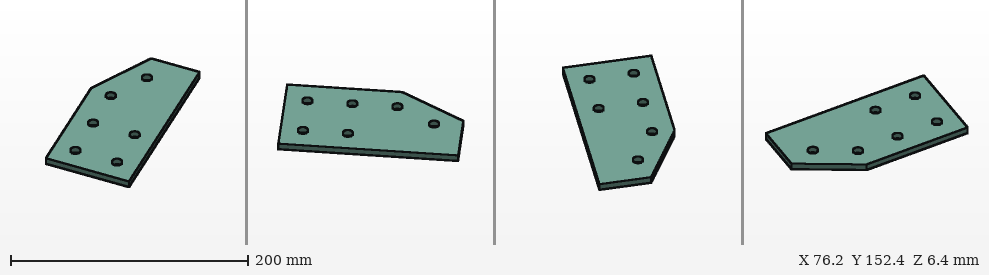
import cadquery as cq
import math

length = 152.4
width = length / 2
thickness = 6.4

slope_angle = math.radians(60)
corner_width = 31.7
corner_height = corner_width * math.tan(slope_angle)

hole_diameter = 8.5
hole_pitch = width / 2
edge_distance = hole_pitch / 2

left_column = edge_distance
right_column = left_column + hole_pitch
rows = [edge_distance + i * hole_pitch for i in range(3)]


def make_plate():
    """Flat plate with its -X, +Y corner cut off."""
    outline = [
        (0, 0),
        (width, 0),
        (width, length),
        (corner_width, length),
        (0, length - corner_height),
    ]
    return cq.Workplane("XY").polyline(outline).close().extrude(thickness)


def hole_centers():
    """Three holes up the left side, two on the right, one along the slope."""
    left = [(left_column, y) for y in rows]
    right = [(right_column, y) for y in rows[:2]]
    inclined = (
        left_column + hole_pitch * math.cos(slope_angle),
        rows[-1] + hole_pitch * math.sin(slope_angle),
    )
    return left + right + [inclined]


def make_holes():
    """Cylinders that pass through the full thickness."""
    return (
        cq.Workplane("XY")
        .pushPoints(hole_centers())
        .circle(hole_diameter / 2)
        .extrude(thickness)
    )


result = make_plate().cut(make_holes())